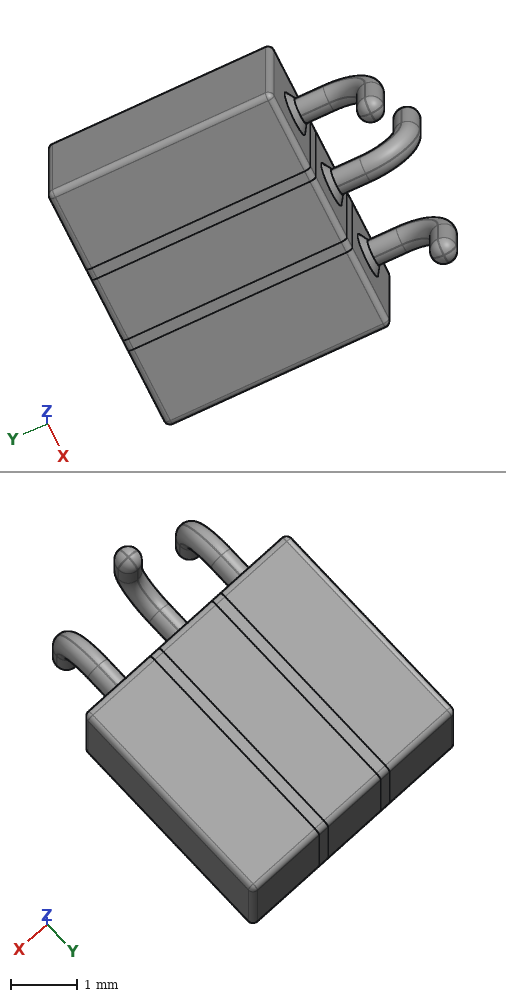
import cadquery as cq
import math

OVERALL_DEPTH = 5.26
HOUSING_WIDTH = 4.19
HOUSING_HEIGHT = 2.2
EDGE_RADIUS = 0.1

PIN_PITCH = 1.27
UP = 1
DOWN = -1
PIN_LAYOUT = [(-PIN_PITCH, DOWN), (0, UP), (PIN_PITCH, DOWN)]

PIN_SIZE = 0.415
PIN_CORNER_RADIUS = 0.2
PIN_REACH = 1.275
PIN_TIP_HEIGHT = 1.51
BEND_RADIUS = 0.7
HOUSING_DEPTH = OVERALL_DEPTH - PIN_REACH - PIN_SIZE / 2

COLLAR_BASE_RADIUS = 0.36
COLLAR_TOP_RADIUS = 0.215
COLLAR_LENGTH = 0.095

BAND_WIDTH = 0.185
BAND_THICKNESS = 0.185
BAND_POSITIONS = [-PIN_PITCH / 2, PIN_PITCH / 2]


def make_block():
    """The complete rounded block that housing and bands share."""
    return (
        cq.Workplane("XY")
        .box(HOUSING_WIDTH, HOUSING_DEPTH, HOUSING_HEIGHT)
        .edges()
        .fillet(EDGE_RADIUS)
        .translate((0, HOUSING_DEPTH / 2, 0))
    )


def make_band(x):
    """A slice of the block, hollowed out to a closed band around the housing."""
    slice_box = cq.Workplane("XY").box(BAND_WIDTH, HOUSING_DEPTH, HOUSING_HEIGHT)
    core = cq.Workplane("XY").box(
        BAND_WIDTH,
        HOUSING_DEPTH - 2 * BAND_THICKNESS,
        HOUSING_HEIGHT - 2 * BAND_THICKNESS,
    )
    ring = slice_box.cut(core).translate((x, HOUSING_DEPTH / 2, 0))
    return make_block().intersect(ring)


def make_housing(bands):
    """The block with a groove for every band."""
    housing = make_block()
    for band in bands:
        housing = housing.cut(band)
    return housing


def make_pin(x, direction):
    """Wire leaving the housing along -Y and bending up or down to a rounded tip."""
    bend_start = PIN_REACH - BEND_RADIUS
    bend_middle = BEND_RADIUS * math.sqrt(0.5)
    path = (
        cq.Workplane("YZ")
        .lineTo(-bend_start, 0)
        .threePointArc(
            (-bend_start - bend_middle, direction * (BEND_RADIUS - bend_middle)),
            (-PIN_REACH, direction * BEND_RADIUS),
        )
        .lineTo(-PIN_REACH, direction * PIN_TIP_HEIGHT)
    )
    profile = cq.Sketch().rect(PIN_SIZE, PIN_SIZE).vertices().fillet(PIN_CORNER_RADIUS)
    wire = cq.Workplane("XZ").placeSketch(profile).sweep(path)
    tip_face = ">Z" if direction == UP else "<Z"
    return wire.faces(tip_face).edges().fillet(PIN_CORNER_RADIUS).translate((x, 0, 0))


def make_collar(x, pin):
    """Cone narrowing from the housing face to the pin, with the pin's shape cut through it."""
    cone = (
        cq.Workplane("XY")
        .lineTo(COLLAR_BASE_RADIUS, 0)
        .lineTo(COLLAR_TOP_RADIUS, -COLLAR_LENGTH)
        .lineTo(0, -COLLAR_LENGTH)
        .close()
        .revolve(360, (0, 0, 0), (0, 1, 0))
    )
    return cone.translate((x, 0, 0)).cut(pin)


bands = [make_band(x) for x in BAND_POSITIONS]
housing = make_housing(bands)
pins = [make_pin(x, direction) for x, direction in PIN_LAYOUT]
collars = [make_collar(x, pin) for (x, _), pin in zip(PIN_LAYOUT, pins)]

bodies = [housing, *bands, *pins, *collars]
result = cq.Compound.makeCompound([body.solids().val() for body in bodies])